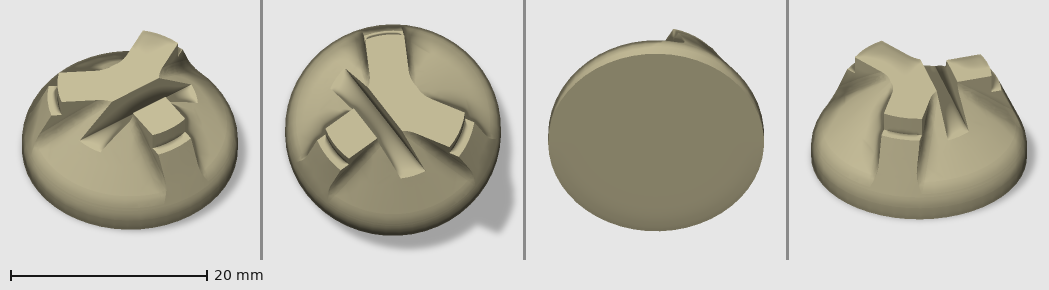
import cadquery as cq
import math

outer_radius = 11.0
rim_height = 1.39
shoulder_height = 8.0
outer_slope = 66.6
edge_round = 3.0

top_height = 10.0
head_radius = 7.4
arm_count = 3
arm_half_width = 2.0
arm_pitch = 360 / arm_count

recess_apex_height = 12.72
recess_slope = 41.8
root_fillet = 1.0
exit_margin = 1.0

slot_start = 1.01
slot_width = 2.49
slot_floor = 6.51

reach = 2 * outer_radius


def revolve_profile(profile):
    return profile.close().revolve(360, (0, 0, 0), (0, 1, 0))


def round_point(center, angle):
    """Point of an edge round whose surface slopes down at `angle` degrees."""
    x, z = center
    slope = math.radians(angle)
    return (x + edge_round * math.sin(slope), z + edge_round * math.cos(slope))


def make_body():
    center = (outer_radius - edge_round, rim_height)
    cone_start = round_point(center, outer_slope)
    cone_height = shoulder_height - cone_start[1]
    shoulder_radius = cone_start[0] - cone_height / math.tan(math.radians(outer_slope))
    return revolve_profile(
        cq.Workplane("XZ")
        .lineTo(outer_radius, 0)
        .lineTo(outer_radius, rim_height)
        .threePointArc(round_point(center, (90 + outer_slope) / 2), cone_start)
        .lineTo(shoulder_radius, shoulder_height)
        .lineTo(head_radius, shoulder_height)
        .lineTo(head_radius, top_height)
        .lineTo(0, top_height)
    )


def recess_blend_center():
    """Center of the edge round tangent to both the recess cone and the outer cone."""
    rim_center_x = outer_radius - edge_round
    recess = math.radians(recess_slope)
    outer = math.radians(outer_slope)
    rim_center_offset = rim_center_x * math.sin(recess) + rim_height * math.cos(recess)
    wanted_offset = recess_apex_height * math.cos(recess) - edge_round
    travel = (wanted_offset - rim_center_offset) / math.sin(outer - recess)
    return (rim_center_x - travel * math.cos(outer), rim_height + travel * math.sin(outer))


def make_recess_core():
    """Solid below the recess surface: a cone whose outer edge rounds over."""
    center = recess_blend_center()
    blend_start = round_point(center, recess_slope)
    exit_slope = outer_slope - exit_margin
    blend_end = round_point(center, exit_slope)
    exit_radius = blend_end[0] + blend_end[1] / math.tan(math.radians(exit_slope))
    return revolve_profile(
        cq.Workplane("XZ")
        .lineTo(exit_radius, 0)
        .lineTo(*blend_end)
        .threePointArc(
            round_point(center, (recess_slope + exit_slope) / 2),
            blend_start,
        )
        .lineTo(0, recess_apex_height)
    )


def make_side_cutter():
    """Space beside one arm and above the recess surface, with a rounded root."""
    block = (
        cq.Workplane("XY")
        .box(2 * reach, reach, reach, centered=(True, False, False))
        .translate((0, arm_half_width, 0))
        .cut(make_recess_core())
    )
    root_edges = block.faces("<Y").edges("not %LINE")
    return root_edges.fillet(root_fillet)


def make_half_recess_cutter():
    """Part of the side cutter from the arm along +X to halfway toward the next arm."""
    halfway = math.radians(arm_pitch / 2)
    wedge = (
        cq.Workplane("XY")
        .lineTo(reach, 0)
        .lineTo(reach * math.cos(halfway), reach * math.sin(halfway))
        .close()
        .extrude(reach)
    )
    return make_side_cutter().intersect(wedge)


def make_slot_cutter():
    return (
        cq.Workplane("XY")
        .box(slot_width, 2 * reach, reach, centered=(False, True, False))
        .translate((slot_start, 0, slot_floor))
    )


result = make_body()
left_cutter = make_half_recess_cutter()
right_cutter = left_cutter.mirror("XZ")
for arm in range(arm_count):
    for cutter in (left_cutter, right_cutter):
        result = result.cut(cutter.rotate((0, 0, 0), (0, 0, 1), arm * arm_pitch))
result = result.cut(make_slot_cutter())